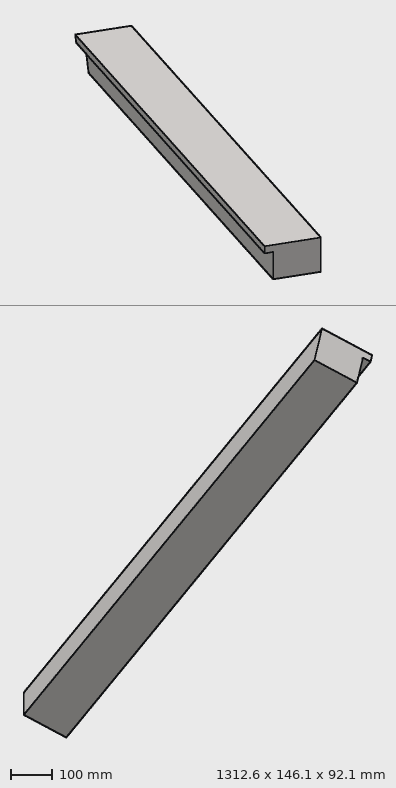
import cadquery as cq
import math

length = 1312.56
width = 146.05
height = 92.08

lip_thickness = 19.05
lip_overhang = 22.225

end_angle = 20.0
end_setback = height * math.tan(math.radians(end_angle))


def lipped_bar():
    """Straight bar whose cross-section has a lip at the top of the -Y side."""
    front = -width / 2
    back = width / 2
    body_front = front + lip_overhang
    lip_underside = height - lip_thickness
    return (
        cq.Workplane("YZ")
        .moveTo(body_front, 0)
        .lineTo(back, 0)
        .lineTo(back, height)
        .lineTo(front, height)
        .lineTo(front, lip_underside)
        .lineTo(body_front, lip_underside)
        .close()
        .extrude(length)
    )


def end_undercut():
    """Wedge that slopes the -X end inward from its top edge to the bottom."""
    return (
        cq.Workplane("XZ")
        .moveTo(0, 0)
        .lineTo(end_setback, 0)
        .lineTo(0, height)
        .close()
        .extrude(width / 2, both=True)
    )


result = lipped_bar().cut(end_undercut())